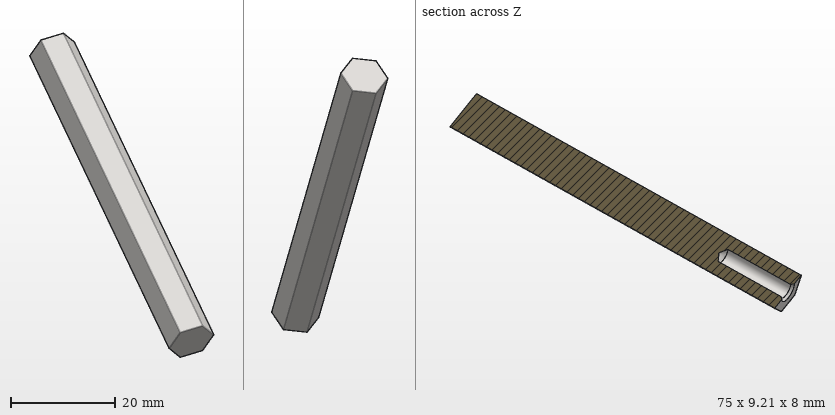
import cadquery as cq
import math

length = 75.0
across_flats = 8.0
across_corners = across_flats / math.cos(math.radians(30))
edge_radius = 0.1

hole_diameter = 3.242
hole_depth = 15.0
drill_point_angle = 118.0
countersink_diameter = 4.3
countersink_angle = 90.0


def cone_height(base_radius, top_radius, included_angle):
    """Axial distance over which a cone narrows between two radii."""
    return (base_radius - top_radius) / math.tan(math.radians(included_angle / 2))


def make_bar():
    """Hexagonal bar, flats facing +Z and -Z, with rounded long edges."""
    bar = cq.Workplane("YZ").polygon(6, across_corners).extrude(length)
    return bar.edges("|X").fillet(edge_radius)


def make_hole():
    """Countersunk drilled hole with a conical bottom, revolved about X."""
    hole_radius = hole_diameter / 2
    mouth_radius = countersink_diameter / 2
    countersink_depth = cone_height(mouth_radius, hole_radius, countersink_angle)
    tip_depth = hole_depth + cone_height(hole_radius, 0, drill_point_angle)
    profile = [
        (0, 0),
        (0, mouth_radius),
        (countersink_depth, hole_radius),
        (hole_depth, hole_radius),
        (tip_depth, 0),
    ]
    return cq.Workplane("XY").polyline(profile).close().revolve(360, (0, 0, 0), (1, 0, 0))


def round_far_end(bar):
    """Round the rim of the +X end face."""
    return bar.faces(">X").edges().fillet(edge_radius)


result = round_far_end(make_bar()).cut(make_hole())